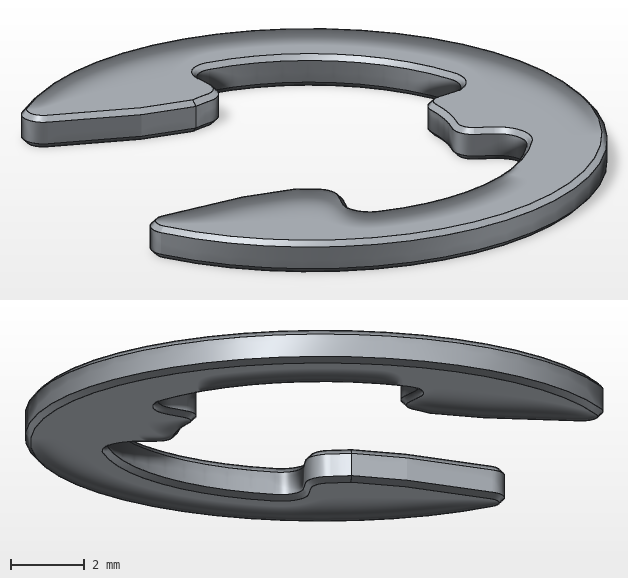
import cadquery as cq
import math

outer_radius = 8.06
thickness = 0.92
chamfer = 0.15
relief_radius = 5.9
grip_radius = 3.95
tab_half_angle = 18.0
hook_angle = 11.5
mouth_half_width = 3.47
mouth_straight_end = -3.48
flare_angle = 10.3

tab_root_fillet = 0.8
tab_tip_fillet = 0.56
hook_root_fillet = 0.61
hook_tip_fillet = 0.73
prong_tip_fillet = 0.6


def polar(radius, angle):
    """Point at an angle in degrees, counter-clockwise from +X."""
    a = math.radians(angle)
    return (radius * math.cos(a), radius * math.sin(a))


def mirrored(point):
    return (-point[0], point[1])


def flare_meets_rim():
    """Corner where the flared mouth line crosses the outer circle."""
    dx = math.sin(math.radians(flare_angle))
    dy = -math.cos(math.radians(flare_angle))
    along = mouth_half_width * dx + mouth_straight_end * dy
    start_squared = mouth_half_width**2 + mouth_straight_end**2
    length = -along + math.sqrt(along**2 + outer_radius**2 - start_squared)
    return (mouth_half_width + length * dx, mouth_straight_end + length * dy)


tab_angle = 90 - tab_half_angle
relief_middle = polar(relief_radius, (tab_angle - hook_angle) / 2)
tab_tip = polar(grip_radius, tab_angle)
tab_root = polar(relief_radius, tab_angle)
hook_root = polar(relief_radius, -hook_angle)
hook_tip = polar(grip_radius, -hook_angle)
seat_end_angle = -math.degrees(math.acos(mouth_half_width / grip_radius))
seat_middle = polar(grip_radius, (seat_end_angle - hook_angle) / 2)
seat_end = polar(grip_radius, seat_end_angle)
flare_start = (mouth_half_width, mouth_straight_end)
prong_tip = flare_meets_rim()

ring = (
    cq.Workplane("XY")
    .moveTo(*prong_tip)
    .threePointArc((0, outer_radius), mirrored(prong_tip))
    .lineTo(*mirrored(flare_start))
    .lineTo(*mirrored(seat_end))
    .threePointArc(mirrored(seat_middle), mirrored(hook_tip))
    .lineTo(*mirrored(hook_root))
    .threePointArc(mirrored(relief_middle), mirrored(tab_root))
    .lineTo(*mirrored(tab_tip))
    .threePointArc((0, grip_radius), tab_tip)
    .lineTo(*tab_root)
    .threePointArc(relief_middle, hook_root)
    .lineTo(*hook_tip)
    .threePointArc(seat_middle, seat_end)
    .lineTo(*flare_start)
    .close()
    .extrude(thickness)
)

corner_fillets = [
    (tab_root, tab_root_fillet),
    (tab_tip, tab_tip_fillet),
    (hook_root, hook_root_fillet),
    (hook_tip, hook_tip_fillet),
    (prong_tip, prong_tip_fillet),
]
for corner, radius in corner_fillets:
    for x, y in (corner, mirrored(corner)):
        edge = cq.selectors.NearestToPointSelector((x, y, thickness / 2))
        ring = ring.edges("|Z").edges(edge).fillet(radius)

result = ring.faces("|Z").edges().chamfer(chamfer)